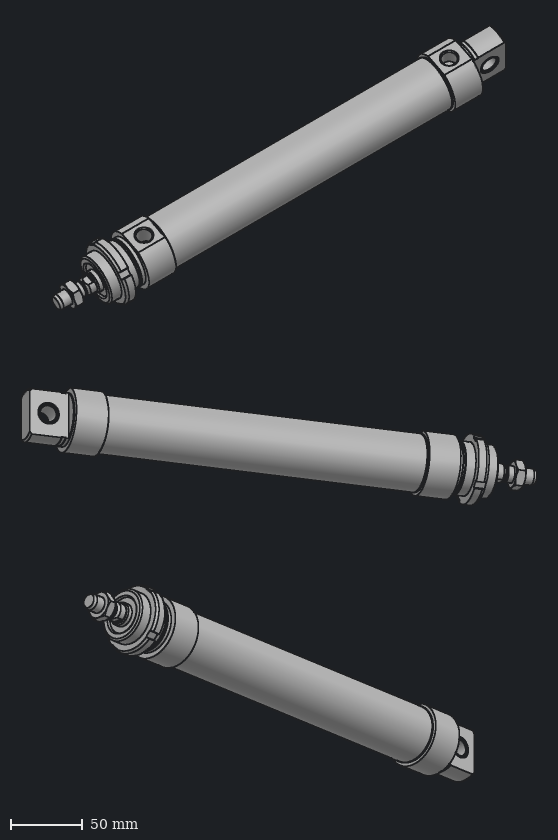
import cadquery as cq
import math

total_length = 377.5

thread_dia = 12
thread_tip_dia = 10
tip_chamfer_length = 2.5
thread_end = 21.3
neck_dia = 10.65
neck_taper = 0.9
rod_start = 24
rod_dia = 14
rod_chamfer = 1
flat_end = 29
flat_across = 12
rod_end = 110

rod_nut_start = 9.9
rod_nut_thickness = 7
rod_nut_across_flats = 19
rod_nut_chamfer_angle = 30

mount_dia = 38
mount_start = 33.3
mount_chamfer_height = 1.6
mount_chamfer_length = 1
undercut_dia = 37
undercut_start = 57.7
undercut_end = 60
recess_dia = 28
recess_floor_dia = 26
recess_depth = 1.5
lip_dia = 16.8
lip_length = 3
lip_chamfer = 1

ring_dia = 50
ring_start = 42.5
ring_thickness = 8
ring_chamfer_length = 2.1
ring_chamfer_height = 1.3
notch_width = 5.5
notch_depth = 1.8
notch_count = 4

cover_dia = 46
tube_dia = 41.6
front_cover_start = 63.1
front_cover_end = 86.2
rear_cover_start = 324.2
rear_cover_end = 347.9
tube_groove_dia = 40.8
tube_groove_width = 1

port_dia = 11.45
port_countersink_dia = 13.4
front_port_y = 75
rear_port_y = 335.3
rear_port_depth = 12
drill_point_angle = 118

lug_width = 18
lug_chamfer = 1.5
lug_base_length = 0.8
lug_start = rear_cover_end + lug_base_length
lug_undercut_offset = 2.8
lug_undercut_width = 2.9
lug_undercut_start = rear_cover_end + lug_undercut_offset
lug_undercut_end = lug_undercut_start + lug_undercut_width
pin_hole_dia = 12
pin_counterbore_dia = 14
pin_countersink_dia = 15.5
pin_hole_setback = 14
pin_hole_y = total_length - pin_hole_setback


def turned(profile):
    """Revolve (radius, y) points about the Y axis; the profile is closed along the axis."""
    points = [(0, profile[0][1])] + profile + [(0, profile[-1][1])]
    return cq.Workplane("XY").polyline(points).close().revolve(360, (0, 0), (0, 1))


def cylinder_along_y(diameter, start, end):
    return turned([(diameter / 2, start), (diameter / 2, end)])


def make_rod():
    rod = turned([
        (thread_tip_dia / 2, 0),
        (thread_dia / 2, tip_chamfer_length),
        (thread_dia / 2, thread_end),
        (neck_dia / 2, thread_end + neck_taper),
        (neck_dia / 2, rod_start - neck_taper),
        (rod_dia / 2 - rod_chamfer, rod_start),
        (rod_dia / 2, rod_start + rod_chamfer),
        (rod_dia / 2, rod_end),
    ])
    flat_length = flat_end - rod_start
    for side in (1, -1):
        cutter = cq.Workplane("XY").box(rod_dia, flat_length, rod_dia).translate(
            (0, rod_start + flat_length / 2, side * (flat_across + rod_dia) / 2)
        )
        rod = rod.cut(cutter)
    return rod


def make_rod_nut():
    corner_dia = rod_nut_across_flats / math.cos(math.pi / 6)
    end = rod_nut_start + rod_nut_thickness
    blank = (
        cq.Workplane("XZ", origin=(0, end, 0))
        .polygon(6, corner_dia)
        .extrude(rod_nut_thickness)
    )
    corner = corner_dia / 2
    face = rod_nut_across_flats / 2
    chamfer_length = (corner - face) * math.tan(math.radians(rod_nut_chamfer_angle))
    envelope = turned([
        (face, rod_nut_start),
        (corner, rod_nut_start + chamfer_length),
        (corner, end - chamfer_length),
        (face, end),
    ])
    return blank.intersect(envelope).cut(cylinder_along_y(thread_dia, rod_nut_start, end))


def make_ring_nut():
    radius = ring_dia / 2
    end = ring_start + ring_thickness
    ring = turned([
        (radius - ring_chamfer_height, ring_start),
        (radius, ring_start + ring_chamfer_length),
        (radius, end),
    ])
    ring = ring.cut(cylinder_along_y(mount_dia, ring_start, end))
    for index in range(notch_count):
        notch = (
            cq.Workplane("XY")
            .box(2 * notch_depth, ring_thickness, notch_width)
            .translate((radius, ring_start + ring_thickness / 2, 0))
            .rotate((0, 0, 0), (0, 1, 0), 45 + index * 360 / notch_count)
        )
        ring = ring.cut(notch)
    return ring


def make_barrel():
    mount = mount_dia / 2
    undercut = undercut_dia / 2
    return turned([
        (mount - mount_chamfer_height, mount_start),
        (mount, mount_start + mount_chamfer_length),
        (mount, undercut_start),
        (undercut, undercut_start + mount - undercut),
        (undercut, undercut_end - mount + undercut),
        (mount, undercut_end),
        (mount, front_cover_start),
        (cover_dia / 2, front_cover_start),
        (cover_dia / 2, front_cover_end),
        (tube_groove_dia / 2, front_cover_end),
        (tube_groove_dia / 2, front_cover_end + tube_groove_width),
        (tube_dia / 2, front_cover_end + tube_groove_width),
        (tube_dia / 2, rear_cover_start - tube_groove_width),
        (tube_groove_dia / 2, rear_cover_start - tube_groove_width),
        (tube_groove_dia / 2, rear_cover_start),
        (cover_dia / 2, rear_cover_start),
        (cover_dia / 2, rear_cover_end),
        (mount, rear_cover_end),
        (mount, lug_undercut_start),
        (undercut, lug_undercut_start),
        (undercut, lug_undercut_end),
        (mount, lug_undercut_end),
        (mount, total_length - lug_chamfer),
        (mount - lug_chamfer, total_length),
    ])


def cut_cover_flats(body):
    """Level the top of both covers with the tube, giving each port a flat seat."""
    length = rear_cover_end - front_cover_start
    slab = cq.Workplane("XY").box(cover_dia, length, cover_dia).translate(
        (0, front_cover_start + length / 2, (tube_dia + cover_dia) / 2)
    )
    return body.cut(slab)


def cut_lug_sides(body):
    length = total_length - lug_start
    for side in (1, -1):
        slab = cq.Workplane("XY").box(mount_dia, length, cover_dia).translate(
            (side * (lug_width + mount_dia) / 2, lug_start + length / 2, 0)
        )
        body = body.cut(slab)
    return body


def cut_pin_hole(body):
    """Cross hole through the lug with a countersunk, shallow counterbore at both ends."""
    sink = (pin_countersink_dia - pin_counterbore_dia) / 2
    half = lug_width / 2
    shoulder = half - sink
    hole = (
        cq.Workplane("XY")
        .polyline([
            (-half, 0),
            (-half, pin_countersink_dia / 2),
            (-shoulder, pin_counterbore_dia / 2),
            (-shoulder, pin_hole_dia / 2),
            (shoulder, pin_hole_dia / 2),
            (shoulder, pin_counterbore_dia / 2),
            (half, pin_countersink_dia / 2),
            (half, 0),
        ])
        .close()
        .revolve(360, (0, 0), (1, 0))
        .translate((0, pin_hole_y, 0))
    )
    return body.cut(hole)


def port_cutter(y, floor_z, point_length):
    """Countersunk bore down from the cover flat, with a drill point below floor_z."""
    seat = tube_dia / 2
    radius = port_dia / 2
    sink = port_countersink_dia / 2 - radius
    return (
        cq.Workplane("XZ")
        .moveTo(0, seat)
        .lineTo(port_countersink_dia / 2, seat)
        .lineTo(radius, seat - sink)
        .lineTo(radius, floor_z)
        .lineTo(0, floor_z - point_length)
        .close()
        .revolve(360, (0, 0), (0, 1))
        .translate((0, y, 0))
    )


def make_housing():
    housing = make_barrel()
    housing = cut_cover_flats(housing)
    housing = cut_lug_sides(housing)
    housing = cut_pin_hole(housing)

    housing = housing.cut(port_cutter(front_port_y, 0, 0))
    point_length = port_dia / 2 / math.tan(math.radians(drill_point_angle / 2))
    rear_floor = tube_dia / 2 - rear_port_depth
    housing = housing.cut(port_cutter(rear_port_y, rear_floor, point_length))

    recess_floor = mount_start + recess_depth
    lip_front = mount_start - lip_length
    lip = turned([
        (lip_dia / 2 - lip_chamfer, lip_front),
        (lip_dia / 2, lip_front + lip_chamfer),
        (lip_dia / 2, recess_floor),
    ])
    recess = turned([(recess_dia / 2, mount_start), (recess_floor_dia / 2, recess_floor)])
    housing = housing.cut(recess).union(lip)
    return housing.cut(cylinder_along_y(rod_dia, lip_front, rod_end))


rod = make_rod()
rod_nut = make_rod_nut()
ring_nut = make_ring_nut()
housing = make_housing()

result = cq.Compound.makeCompound([housing.val(), ring_nut.val(), rod.val(), rod_nut.val()])